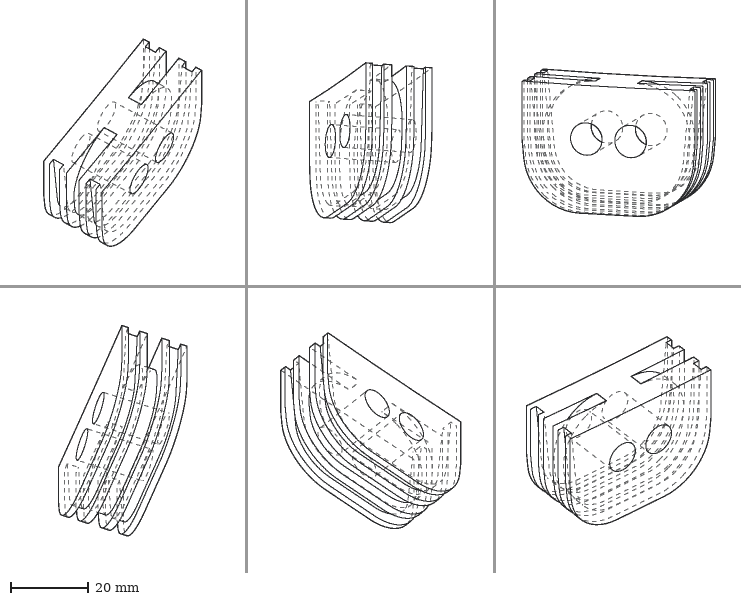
import cadquery as cq
import math

thickness = 18.0
length = 46.75
height = 33.9

corner_radius = 15.2
corner_center_y = 7.8
wall_tilt = math.radians(5.3)
top_sag = 0.3
top_edge_fillet = 0.3

outer_wall = 1.78
outer_groove_width = 3.15
outer_groove_depth = 3.25
center_groove_width = 3.95
center_groove_depth = 3.5

hole_diameter = 8.5
hole_y = 6.0
hole_z = 19.6
hub_y = 5.9
hub_radius = length / 2 - center_groove_depth - hub_y
groove_end_y = 5.7

top_clearance = 4.65


def extrude_centered(outline, width, x=0.0):
    """Extrude a YZ outline symmetrically about the given X."""
    return outline.extrude(width).translate((x - width / 2, 0, 0))


def tilted_body(inset, width, x=0.0):
    """Body with tilted sides and rounded bottom corners, shrunk by inset and open-ended at the top."""
    radius = corner_radius - inset
    tangent_y = corner_center_y + radius * math.cos(wall_tilt)
    tangent_z = corner_radius - radius * math.sin(wall_tilt)
    arc_angle = math.pi / 4 + wall_tilt / 2
    middle_y = corner_center_y + radius * math.cos(arc_angle)
    middle_z = corner_radius - radius * math.sin(arc_angle)
    top_z = height + top_clearance
    top_y = tangent_y + (top_z - tangent_z) * math.tan(wall_tilt)
    outline = (
        cq.Workplane("YZ")
        .moveTo(-corner_center_y, inset)
        .lineTo(corner_center_y, inset)
        .threePointArc((middle_y, middle_z), (tangent_y, tangent_z))
        .lineTo(top_y, top_z)
        .lineTo(-top_y, top_z)
        .lineTo(-tangent_y, tangent_z)
        .threePointArc((-middle_y, middle_z), (-corner_center_y, inset))
        .close()
    )
    return extrude_centered(outline, width, x)


def hollow_topped_block():
    """Straight-sided block whose top is a shallow concave arc with softened ends."""
    outline = (
        cq.Workplane("YZ")
        .moveTo(-length / 2, 0)
        .lineTo(length / 2, 0)
        .lineTo(length / 2, height)
        .threePointArc((0, height - top_sag), (-length / 2, height))
        .close()
    )
    block = extrude_centered(outline, thickness)
    ends = cq.selectors.BoxSelector(
        (-thickness, -length, height - top_sag / 2), (thickness, length, height + top_sag)
    )
    return block.edges("|X").edges(ends).fillet(top_edge_fillet)


def box_between(y_half, z_low, z_high, width):
    """Box centered on X and Y, spanning the given heights."""
    return (
        cq.Workplane("XY", origin=(0, 0, z_low))
        .rect(width, 2 * y_half)
        .extrude(z_high - z_low)
    )


def center_core():
    """Material left at the bottom of the center groove."""
    lower = box_between(length / 2 - center_groove_depth, 0, hole_z, center_groove_width)
    core = lower.union(box_between(groove_end_y, hole_z, height + top_clearance, center_groove_width))
    for side in (-1, 1):
        hub = cq.Workplane("YZ").center(side * hub_y, hole_z).circle(hub_radius)
        core = core.union(extrude_centered(hub, center_groove_width))
    return core.intersect(tilted_body(center_groove_depth, center_groove_width))


def groove_slab(width, x=0.0):
    """Block covering the whole body over one groove's width."""
    top = height + top_clearance
    return box_between(length, -top_clearance, top, width).translate((x, 0, 0))


body = hollow_topped_block().intersect(tilted_body(0, thickness))

outer_groove_x = thickness / 2 - outer_wall - outer_groove_width / 2
for x in (-outer_groove_x, outer_groove_x):
    core = tilted_body(outer_groove_depth, outer_groove_width, x)
    body = body.cut(groove_slab(outer_groove_width, x).cut(core))

body = body.cut(groove_slab(center_groove_width).cut(center_core()))

holes = cq.Workplane("YZ").pushPoints([(-hole_y, hole_z), (hole_y, hole_z)]).circle(hole_diameter / 2)
result = body.cut(extrude_centered(holes, thickness))